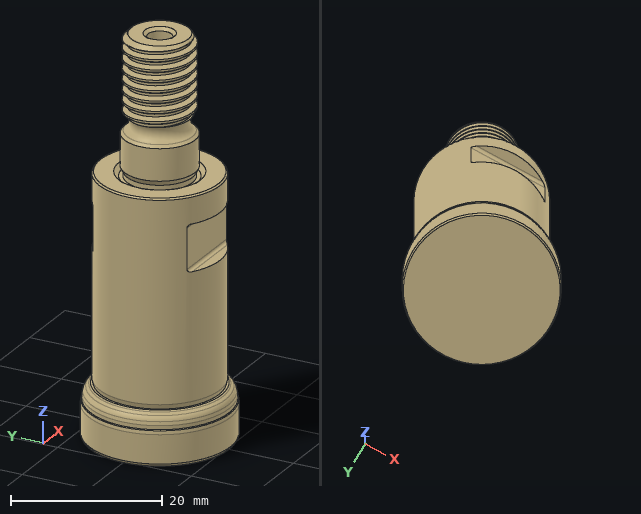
import cadquery as cq
import math

total_height = 58.1
base_radius = 21.1 / 2
rim_radius = 10.35
body_radius = 18 / 2
collar_radius = 10.5 / 2
shank_radius = 4.9

base_chamfer_width = 0.2
base_chamfer_height = 0.4
base_band_height = 4.65
rim_step_bottom = 5.15
rim_step_top = 5.3
rim_step_width = 0.1
rim_straight_top = 5.85
rim_taper_top = 6.4
rim_taper_radius = 10.2
shoulder_mid_radius = 10.05
shoulder_mid_height = 6.8
shoulder_arc_radius = 9.8
shoulder_arc_top = 7.1
shoulder_radius = 9.4
shoulder_height = 7.45
flange_top = 7.6
flange_top_radius = 9.2

body_taper_top = 8.3
body_taper_radius = 8.85
body_top = 38.1
body_chamfer = 0.25
recess_mouth_radius = 6.1
recess_floor_radius = 5.45
recess_depth = recess_mouth_radius - recess_floor_radius

collar_bottom = 39.0
collar_top = 44.1
collar_chamfer = 0.4
collar_taper_height = 0.75

thread_diameter = 10.0
thread_radius = thread_diameter / 2
thread_pitch = 0.15 * thread_diameter
thread_root_radius = 4.3
thread_bottom = 46.95
stud_chamfer = 0.75
neck_radius = 4.1
neck_height = 45.5

groove_start = 45.7
groove_turns = 9
groove_clearance = 0.1
flank_angle = 30
root_flat = thread_pitch / 4

flat_distance = 7.05
flat_bottom = 27.1
flat_top = 34.0
flat_fillet = 0.45

hole_radius = 3.5 / 2
hole_mouth_radius = 2.2
hole_depth = 4.65
drill_point_angle = 118


def turned_blank():
    """Revolve the half profile of every turned surface about Z."""
    profile = (
        cq.Workplane("XZ")
        .lineTo(base_radius - base_chamfer_width, 0)
        .lineTo(base_radius, base_chamfer_height)
        .lineTo(base_radius, base_band_height)
        .lineTo(rim_radius + rim_step_width, rim_step_bottom)
        .lineTo(rim_radius, rim_step_top)
        .lineTo(rim_radius, rim_straight_top)
        .lineTo(rim_taper_radius, rim_taper_top)
        .threePointArc((shoulder_mid_radius, shoulder_mid_height), (shoulder_arc_radius, shoulder_arc_top))
        .lineTo(shoulder_radius, shoulder_height)
        .lineTo(flange_top_radius, flange_top)
        .lineTo(body_taper_radius, flange_top)
        .lineTo(body_radius, body_taper_top)
        .lineTo(body_radius, body_top - body_chamfer)
        .lineTo(body_radius - body_chamfer, body_top)
        .lineTo(recess_mouth_radius, body_top)
        .lineTo(recess_floor_radius, body_top - recess_depth)
        .lineTo(shank_radius, body_top - recess_depth)
        .lineTo(shank_radius, collar_bottom - collar_taper_height)
        .lineTo(collar_radius, collar_bottom)
        .lineTo(collar_radius, collar_top - collar_chamfer)
        .lineTo(collar_radius - collar_chamfer, collar_top)
        .threePointArc((neck_radius, neck_height), (thread_radius, thread_bottom))
        .lineTo(thread_radius, total_height - stud_chamfer)
        .lineTo(thread_radius - stud_chamfer, total_height)
        .lineTo(0, total_height)
        .close()
    )
    blank = profile.revolve(360, (0, 0, 0), (0, 1, 0))
    return blank.rotate((0, 0, 0), (0, 0, 1), 180)


def thread_groove():
    """Right-hand helical groove with a trapezoidal section."""
    outer_radius = thread_radius + groove_clearance
    root_half = root_flat / 2
    flank_rise = (outer_radius - thread_root_radius) * math.tan(math.radians(flank_angle))
    outer_half = root_half + flank_rise
    helix = cq.Wire.makeHelix(thread_pitch, groove_turns * thread_pitch, thread_radius)
    section = cq.Workplane("XZ").polyline(
        [
            (thread_root_radius, -root_half),
            (outer_radius, -outer_half),
            (outer_radius, outer_half),
            (thread_root_radius, root_half),
        ]
    ).close()
    groove = section.sweep(cq.Workplane(helix), isFrenet=True)
    return groove.translate((0, 0, groove_start))


def wrench_flat_cutter(side):
    """Block beyond one wrench flat; side is -1 or +1 along Y."""
    cut_depth = base_radius - flat_distance
    block = cq.Workplane("XY").box(2 * base_radius, cut_depth, flat_top - flat_bottom)
    inner_face = ">Y" if side < 0 else "<Y"
    block = block.faces(inner_face).edges("|X").fillet(flat_fillet)
    return block.translate((0, side * (flat_distance + cut_depth / 2), (flat_bottom + flat_top) / 2))


def centre_hole():
    """Blind drilled hole with a countersunk mouth."""
    mouth_depth = hole_mouth_radius - hole_radius
    point_height = hole_radius / math.tan(math.radians(drill_point_angle / 2))
    profile = cq.Workplane("XZ").polyline(
        [
            (0, total_height),
            (hole_mouth_radius, total_height),
            (hole_radius, total_height - mouth_depth),
            (hole_radius, total_height - hole_depth),
            (0, total_height - hole_depth - point_height),
        ]
    ).close()
    return profile.revolve(360, (0, 0, 0), (0, 1, 0))


result = turned_blank().cut(thread_groove()).cut(centre_hole())
for side in (-1, 1):
    result = result.cut(wrench_flat_cutter(side))